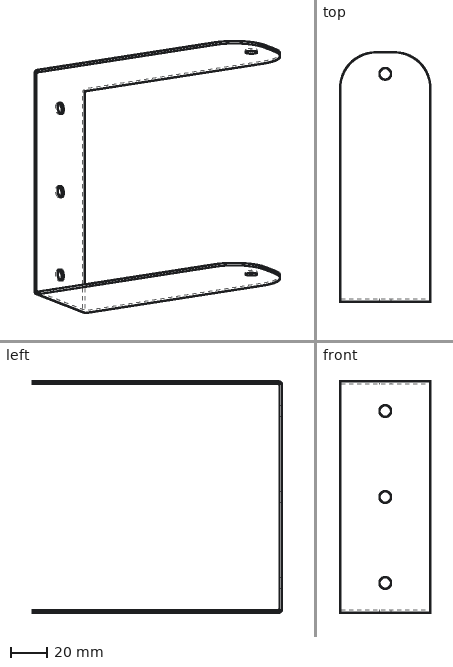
import cadquery as cq

width = 50.0
depth = 138.0
height = 128.0
sheet_thickness = 1.5

inner_bend_radius = sheet_thickness / 2
outer_bend_radius = inner_bend_radius + sheet_thickness

arm_corner_radius = 20.0

hole_diameter = 6.3
arm_hole_to_tip = 12.0
plate_hole_spacing = 47.5


def make_bent_block(back_face_y, block_height, bend_radius):
    """Full-width block from back_face_y to the arm tips, its two back edges rounded."""
    return (
        cq.Workplane("XY", origin=(0, back_face_y, 0))
        .box(width, depth - back_face_y, block_height, centered=(True, False, True))
        .edges("|X and <Y")
        .fillet(bend_radius)
    )


def make_folded_sheet():
    """Back plate with its outer face on Y = 0 and an arm folded towards +Y at top and bottom."""
    outside = make_bent_block(0, height, outer_bend_radius)
    inside = make_bent_block(sheet_thickness, height - 2 * sheet_thickness, inner_bend_radius)
    return outside.cut(inside)


def round_arm_ends(body):
    """Round both free corners of each arm."""
    return body.edges("|Z and >Y").fillet(arm_corner_radius)


def cut_arm_holes(body):
    """One hole through both arms near their tips."""
    drill = (
        cq.Workplane("XY", origin=(0, depth - arm_hole_to_tip, 0))
        .circle(hole_diameter / 2)
        .extrude(height, both=True)
    )
    return body.cut(drill)


def cut_plate_holes(body):
    """Three holes in a vertical row through the back plate."""
    for row in (-1, 0, 1):
        drill = (
            cq.Workplane("XZ", origin=(0, 0, row * plate_hole_spacing))
            .circle(hole_diameter / 2)
            .extrude(2 * sheet_thickness, both=True)
        )
        body = body.cut(drill)
    return body


bracket = make_folded_sheet()
bracket = round_arm_ends(bracket)
bracket = cut_arm_holes(bracket)
result = cut_plate_holes(bracket)